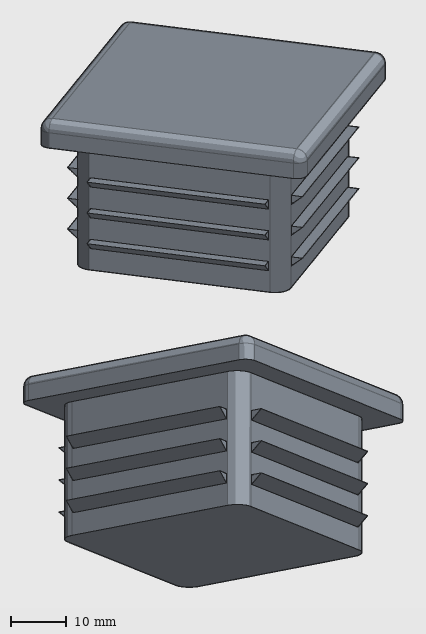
import cadquery as cq

cap_side = 50.0
cap_height = 5.0
cap_radius = 2.0

plug_side = 40.0
plug_height = 25.0
plug_radius = 3.0

barb_reach = 2.1
barb_height = 1.8
barb_end_gap = 0.25
barb_length = plug_side - 2 * (plug_radius + barb_end_gap)
barb_pitch = 6.0
barb_count = 3
barb_overlap = 0.5


def make_cap():
    """Square plate with rounded vertical corners and a rounded top rim."""
    plate = (
        cq.Workplane("XY", origin=(0, 0, plug_height))
        .rect(cap_side, cap_side)
        .extrude(cap_height)
    )
    return plate.edges("|Z or >Z").fillet(cap_radius)


def make_plug():
    """Square block with rounded vertical corners, standing on Z = 0."""
    block = cq.Workplane("XY").rect(plug_side, plug_side).extrude(plug_height)
    return block.edges("|Z").fillet(plug_radius)


def make_barb(top_z):
    """Barb on the -Y face: flat on top, sloping back to the plug below."""
    face_y = -plug_side / 2
    inner_y = face_y + barb_overlap
    profile = [
        (inner_y, top_z),
        (face_y - barb_reach, top_z),
        (face_y, top_z - barb_height),
        (inner_y, top_z - barb_height),
    ]
    return cq.Workplane("YZ").polyline(profile).close().extrude(barb_length / 2, both=True)


result = make_plug().union(make_cap())
for level in range(1, barb_count + 1):
    barb = make_barb(level * barb_pitch)
    for angle in (0, 90, 180, 270):
        result = result.union(barb.rotate((0, 0, 0), (0, 0, 1), angle))